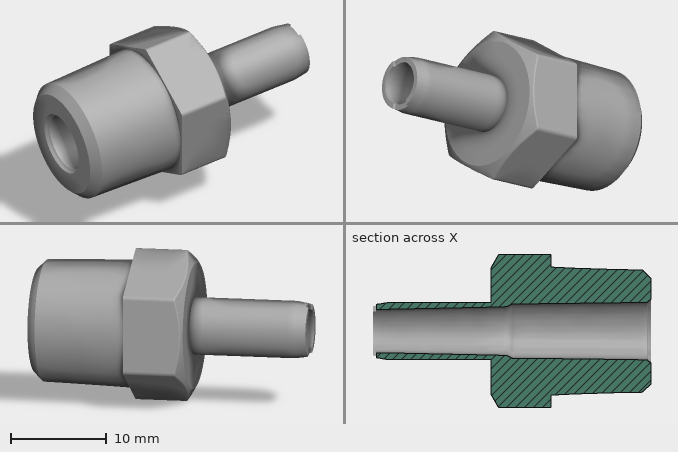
import cadquery as cq
import math


total_length = 29.0
hex_start = 10.45
hex_length = 6.3
hex_end = hex_start + hex_length

thread_end_radius = 6.4
thread_taper = 1 / 32
thread_face_radius = 5.5
thread_chamfer_length = 0.93
thread_root_radius = thread_end_radius + (hex_start - thread_chamfer_length) * thread_taper

hex_across_flats = 14.0
hex_half_sector = 30.0
hex_corner_round = 0.5
hex_cone_angle = 30.0
hex_cone_end_radius = 6.6
hex_cone_round = 0.2

stem_radius = 6.0 / 2
stem_taper_length = 1.55
stem_taper_start = total_length - stem_taper_length
stem_tip_radius = 5.55 / 2
stem_blend_radius = 2.5
tip_slot_width = 2.0
tip_slot_depth = 0.3

mouth_radius = 3.3
mouth_throat_radius = 3.13
mouth_throat_depth = 0.3
wide_bore_start_radius = 3.0
wide_bore_start_depth = 0.4
wide_bore_end_radius = 2.8
wide_bore_end_depth = 14.5
funnel_length = 0.58
stem_bore_start_radius = 2.52
stem_bore_end_radius = 2.23


def revolve_about_y(points):
    """Turn a closed outline of (radius, y) points about the Y axis."""
    return cq.Workplane("XY").polyline(points).close().revolve(360, (0, 0, 0), (0, 1, 0))


def make_thread_body():
    return revolve_about_y([
        (0, 0),
        (thread_face_radius, 0),
        (thread_end_radius, thread_chamfer_length),
        (thread_root_radius, hex_start),
        (0, hex_start),
    ])


def make_hexagon():
    """Hexagon with two corners on Z, coned and rounded on the stem side."""
    corner_diameter = hex_across_flats / math.cos(math.radians(hex_half_sector))
    prism = (
        cq.Workplane("XZ", origin=(0, hex_start, 0))
        .transformed(rotate=(0, 0, hex_half_sector))
        .polygon(6, corner_diameter)
        .extrude(-hex_length)
        .edges("|Y")
        .fillet(hex_corner_round)
    )
    cone_base_radius = hex_cone_end_radius + hex_length / math.tan(math.radians(hex_cone_angle))
    cone = revolve_about_y([
        (0, hex_start),
        (cone_base_radius, hex_start),
        (hex_cone_end_radius, hex_end),
        (0, hex_end),
    ])
    coned_prism = prism.intersect(cone)
    cone_to_flat_edges = coned_prism.faces("%CONE").edges("not (%CIRCLE or %LINE)")
    return cone_to_flat_edges.fillet(hex_cone_round)


def make_stem():
    """Cylinder with a slightly coned tip, blended where the cone begins."""
    stem = revolve_about_y([
        (0, hex_end),
        (stem_radius, hex_end),
        (stem_radius, stem_taper_start),
        (stem_tip_radius, total_length),
        (0, total_length),
    ])
    return stem.faces("%CONE").edges("<Y").fillet(stem_blend_radius)


def make_bore():
    return revolve_about_y([
        (0, 0),
        (mouth_radius, 0),
        (mouth_throat_radius, mouth_throat_depth),
        (wide_bore_start_radius, wide_bore_start_depth),
        (wide_bore_end_radius, wide_bore_end_depth),
        (stem_bore_start_radius, wide_bore_end_depth + funnel_length),
        (stem_bore_end_radius, total_length),
        (0, total_length),
    ])


def make_tip_slot():
    """Shallow slot across the stem tip, running along Z."""
    slot_length = 2 * stem_radius
    slot_center = (0, total_length - tip_slot_depth / 2, 0)
    return cq.Workplane("XY", origin=slot_center).box(tip_slot_width, tip_slot_depth, slot_length)


body = make_thread_body().union(make_hexagon()).union(make_stem())
result = body.cut(make_bore()).cut(make_tip_slot())